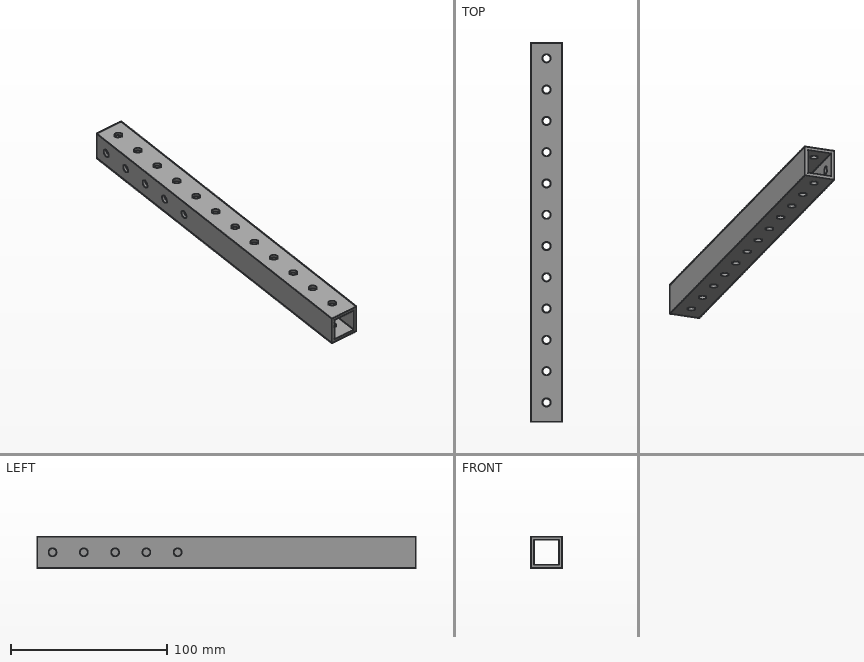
import cadquery as cq

length = 242.2
width = 20.0
wall = 2.2
bore = width - 2 * wall

hole_diameter = 5.0
first_hole_offset = 10.0
vertical_hole_count = 12
vertical_row_span = 220.0
hole_pitch = vertical_row_span / (vertical_hole_count - 1)
side_hole_count = 5


def hole_positions(count):
    """Y positions of a hole row that starts at the +Y end."""
    first_y = length / 2 - first_hole_offset
    return [first_y - i * hole_pitch for i in range(count)]


def square_tube():
    outer = cq.Workplane("XY").box(width, length, width)
    inner = cq.Workplane("XY").box(bore, length, bore)
    return outer.cut(inner)


def vertical_holes():
    """Row of holes through both the top and bottom walls."""
    return (
        cq.Workplane("XY", origin=(0, 0, -width / 2))
        .pushPoints([(0, y) for y in hole_positions(vertical_hole_count)])
        .circle(hole_diameter / 2)
        .extrude(width)
    )


def side_holes():
    """Row of holes through the -X wall only."""
    return (
        cq.Workplane("YZ", origin=(-width / 2, 0, 0))
        .pushPoints([(y, 0) for y in hole_positions(side_hole_count)])
        .circle(hole_diameter / 2)
        .extrude(width / 2)
    )


result = square_tube().cut(vertical_holes()).cut(side_holes())